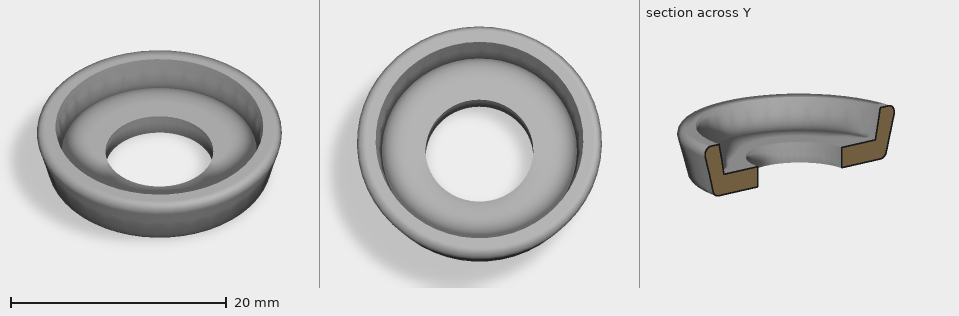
import cadquery as cq
import math

outer_radius = 11.35
height = 5.0
edge_radius = 0.75
wall_angle = math.radians(15)

hole_radius = 5.0
floor_thickness = 2.0
pocket_floor_radius = 9.04
pocket_mouth_radius = 9.63

rim_center_radius = outer_radius - edge_radius
rim_center_height = height - edge_radius

base_center_height = edge_radius
base_center_radius = rim_center_radius - (rim_center_height - base_center_height) * math.tan(wall_angle)


def rounding_point(center_radius, center_height, angle):
    """Point on an edge rounding, at an angle above the outward direction."""
    return (
        center_radius + edge_radius * math.cos(angle),
        center_height + edge_radius * math.sin(angle),
    )


wall_normal = -wall_angle
base_middle = (wall_normal - math.pi / 2) / 2

section = (
    cq.Workplane("XZ")
    .moveTo(hole_radius, 0)
    .lineTo(base_center_radius, 0)
    .threePointArc(
        rounding_point(base_center_radius, base_center_height, base_middle),
        rounding_point(base_center_radius, base_center_height, wall_normal),
    )
    .lineTo(*rounding_point(rim_center_radius, rim_center_height, wall_normal))
    .threePointArc(
        rounding_point(rim_center_radius, rim_center_height, 0),
        (rim_center_radius, height),
    )
    .lineTo(pocket_mouth_radius, height)
    .lineTo(pocket_floor_radius, floor_thickness)
    .lineTo(hole_radius, floor_thickness)
    .close()
)

result = section.revolve(360, (0, 0, 0), (0, 1, 0))